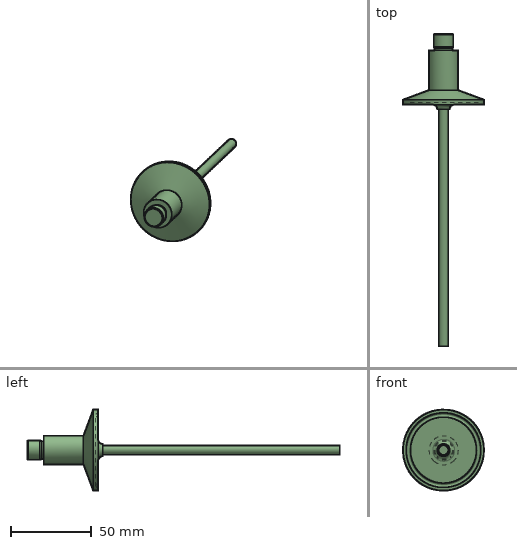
import cadquery as cq
import math

total_length = 194.0
connector_length = 10.3
barrel_length = 24.6
cone_length = 6.0
rim_thickness = 3.1

flange_diameter = 50.5
barrel_diameter = 18.0
connector_diameter = 12.2
neck_diameter = 11.3
collar_diameter = 7.8
rod_diameter = 6.0

neck_length = 1.2
neck_taper_length = 1.2
connector_chamfer = 0.5
collar_fillet = 3.0
groove_diameter = 43.6
groove_width = 2.7
groove_wall_depth = 1.0
groove_wall_angle = math.radians(20)

rod_tip_y = -total_length / 2
connector_back_y = total_length / 2
barrel_back_y = connector_back_y - connector_length
cone_back_y = barrel_back_y - barrel_length
rim_back_y = cone_back_y - cone_length
flange_face_y = rim_back_y - rim_thickness


def spin(profile):
    """Close a profile in the XY plane and turn it around the Y axis."""
    return profile.close().revolve(360, (0, 0, 0), (0, 1, 0))


def cylinder(diameter, front_y, back_y):
    """Solid cylinder on the Y axis between two stations."""
    return cq.Workplane("XZ", origin=(0, front_y, 0)).circle(diameter / 2).extrude(front_y - back_y)


def flange():
    """Clamp flange: flat rim with a cone that narrows to the barrel."""
    return spin(
        cq.Workplane("XY")
        .moveTo(0, flange_face_y)
        .lineTo(flange_diameter / 2, flange_face_y)
        .lineTo(flange_diameter / 2, rim_back_y)
        .lineTo(barrel_diameter / 2, cone_back_y)
        .lineTo(0, cone_back_y)
    )


def gasket_groove():
    """Ring cut into the flange face, with sloping walls and a tangent round bottom."""
    middle = groove_diameter / 2
    half_width = groove_width / 2
    wall_end_y = flange_face_y + groove_wall_depth
    half_bottom = half_width - groove_wall_depth * math.tan(groove_wall_angle)
    bottom_radius = half_bottom / math.cos(groove_wall_angle)
    bottom_y = wall_end_y + bottom_radius * (1 - math.sin(groove_wall_angle))
    return spin(
        cq.Workplane("XY")
        .moveTo(middle - half_width, flange_face_y)
        .lineTo(middle - half_bottom, wall_end_y)
        .threePointArc((middle, bottom_y), (middle + half_bottom, wall_end_y))
        .lineTo(middle + half_width, flange_face_y)
    )


def collar():
    """Short concave flare from the collar diameter out to the flange face."""
    inner = collar_diameter / 2
    outer = inner + collar_fillet
    front_y = flange_face_y - collar_fillet
    arc_offset = collar_fillet * (1 - math.sqrt(0.5))
    return spin(
        cq.Workplane("XY")
        .moveTo(0, rim_back_y)
        .lineTo(0, front_y)
        .lineTo(inner, front_y)
        .threePointArc((inner + arc_offset, flange_face_y - arc_offset), (outer, flange_face_y))
        .lineTo(outer, rim_back_y)
    )


def connector():
    """Plug on a narrower neck, tapered at the neck and chamfered at its back end."""
    neck_radius = neck_diameter / 2
    plug_radius = connector_diameter / 2
    taper_front_y = barrel_back_y + neck_length
    return spin(
        cq.Workplane("XY")
        .moveTo(0, barrel_back_y)
        .lineTo(neck_radius, barrel_back_y)
        .lineTo(neck_radius, taper_front_y)
        .lineTo(plug_radius, taper_front_y + neck_taper_length)
        .lineTo(plug_radius, connector_back_y - connector_chamfer)
        .lineTo(plug_radius - connector_chamfer, connector_back_y)
        .lineTo(0, connector_back_y)
    )


barrel = cylinder(barrel_diameter, cone_back_y, barrel_back_y)
rod = cylinder(rod_diameter, rod_tip_y, rim_back_y)

result = flange().cut(gasket_groove()).union(barrel).union(connector()).union(collar()).union(rod)